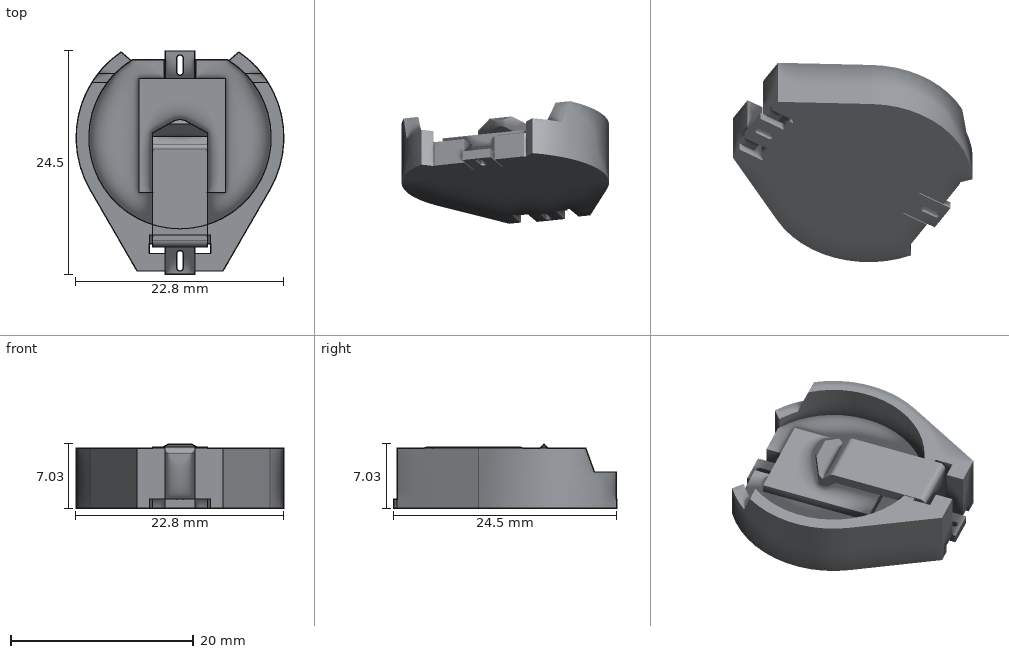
import cadquery as cq
import math


housing_height = 6.6
outer_radius = 11.395
pocket_radius = 10.0
floor_height = 2.7
flank_angle = math.radians(30)
back_y = -14.63
open_edge_y = 8.55
arm_tip_x = 6.45
arm_tip_angle = math.radians(41)
low_arm_height = 4.0
ramp_bottom_y = 7.0
ramp_top_y = 6.05
reach = 15.0

contact_thickness = 1.0
tab_width = 3.25
front_tab_end_y = 9.5
back_tab_end_y = -15.0
tab_slot_width = 0.7
tab_slot_length = 2.2
front_tab_slot_gap = 0.45
back_tab_slot_gap = 0.4

plate_width = 9.5
plate_center_x = 0.25
plate_front_y = 6.5
plate_back_y = -6.0
tab_channel_width = 3.5

clip_width = 6.0
clip_thickness = 1.15
clip_top = 6.7
clip_back_y = -12.0
bend_radius = 0.7
fold_angle = math.radians(45)
valley_y = 0.1
peak_y = 1.47
peak_z = 7.03
nose_corner_y = 0.53
nose_slope = 0.55
nose_radius = 1.5

recess_width = 6.7
recess_front_y = -10.7
recess_back_y = -12.7
foot_front_y = -11.65


def block(width, y_min, y_max, z_min, z_max):
    """Box centred on X between the given Y and Z limits."""
    depth = y_max - y_min
    height = z_max - z_min
    shape = cq.Workplane("XY").box(width, depth, height, centered=(True, False, False))
    return shape.translate((0, y_min, z_min))


def tab_slot(y_min):
    """Cutter for the round-ended slot through a solder tab."""
    return (
        cq.Workplane("XY")
        .center(0, y_min + tab_slot_length / 2)
        .slot2D(tab_slot_length, tab_slot_width, 90)
        .extrude(contact_thickness)
    )


def make_housing():
    tangent_x = outer_radius * math.cos(flank_angle)
    tangent_y = -outer_radius * math.sin(flank_angle)
    back_x = tangent_x - (tangent_y - back_y) * math.tan(flank_angle)
    arm_tip_y = math.sqrt(outer_radius**2 - arm_tip_x**2)

    run_x = math.cos(arm_tip_angle)
    run_y = math.sin(arm_tip_angle)
    corner_depth = arm_tip_x * run_x + arm_tip_y * run_y
    run = corner_depth - math.sqrt(corner_depth**2 - (outer_radius**2 - pocket_radius**2))
    inner_x = arm_tip_x - run * run_x
    inner_y = arm_tip_y - run * run_y

    walls = (
        cq.Workplane("XY")
        .moveTo(-back_x, back_y)
        .lineTo(back_x, back_y)
        .lineTo(tangent_x, tangent_y)
        .threePointArc((outer_radius, 0), (arm_tip_x, arm_tip_y))
        .lineTo(inner_x, inner_y)
        .threePointArc((0, -pocket_radius), (-inner_x, inner_y))
        .lineTo(-arm_tip_x, arm_tip_y)
        .threePointArc((-outer_radius, 0), (-tangent_x, tangent_y))
        .close()
        .extrude(housing_height)
    )

    floor = cq.Workplane("XY").circle(pocket_radius).extrude(floor_height)
    floor = floor.intersect(block(2 * reach, -reach, open_edge_y, 0, floor_height))

    arm_step = (
        cq.Workplane("YZ")
        .moveTo(ramp_top_y, housing_height)
        .lineTo(ramp_bottom_y, low_arm_height)
        .lineTo(reach, low_arm_height)
        .lineTo(reach, housing_height)
        .close()
        .extrude(reach, both=True)
    )

    front_channel = block(tab_channel_width, plate_front_y - contact_thickness, reach, 0, floor_height)
    recess = block(recess_width, recess_back_y, recess_front_y, contact_thickness, housing_height)
    foot_notch = block(recess_width, back_y, foot_front_y, 0, contact_thickness)
    back_channel = block(tab_width, back_y, recess_back_y, contact_thickness, housing_height)

    housing = walls.union(floor).cut(arm_step)
    return housing.cut(front_channel).cut(recess).cut(foot_notch).cut(back_channel)


def make_lower_contact():
    plate = block(plate_width, plate_back_y, plate_front_y, floor_height, floor_height + contact_thickness)
    plate = plate.translate((plate_center_x, 0, 0))
    riser = block(tab_width, plate_front_y - contact_thickness, plate_front_y, 0, floor_height)
    tab = block(tab_width, plate_front_y, front_tab_end_y, 0, contact_thickness)
    slot = tab_slot(front_tab_end_y - front_tab_slot_gap - tab_slot_length)
    return plate.union(riser).union(tab).cut(slot)


def make_clip():
    diagonal = math.cos(fold_angle)
    offset = clip_thickness * diagonal
    valley_z = peak_z - (peak_y - valley_y)
    crest_y = valley_y - (clip_top - valley_z)
    under_z = clip_top - clip_thickness
    under_y = valley_y - offset - (under_z - (valley_z - offset))
    bend_setback = bend_radius * math.tan(fold_angle / 2)
    leg_front_y = clip_back_y + clip_thickness

    strip = (
        cq.Workplane("YZ")
        .moveTo(clip_back_y, contact_thickness)
        .lineTo(clip_back_y, clip_top - bend_radius)
        .radiusArc((clip_back_y + bend_radius, clip_top), bend_radius)
        .lineTo(crest_y - bend_setback, clip_top)
        .radiusArc((crest_y + bend_setback * diagonal, clip_top - bend_setback * diagonal), bend_radius)
        .lineTo(valley_y, valley_z)
        .lineTo(peak_y, peak_z)
        .lineTo(peak_y + offset, peak_z - offset)
        .lineTo(valley_y + offset, valley_z - offset)
        .threePointArc((valley_y, valley_z - clip_thickness), (valley_y - offset, valley_z - offset))
        .lineTo(under_y, under_z)
        .lineTo(leg_front_y, under_z)
        .lineTo(leg_front_y, contact_thickness)
        .close()
        .extrude(clip_width / 2, both=True)
    )

    nose_point_y = nose_corner_y + nose_slope * clip_width / 2
    outline = (
        cq.Workplane("XY")
        .moveTo(-clip_width / 2, clip_back_y)
        .lineTo(clip_width / 2, clip_back_y)
        .lineTo(clip_width / 2, nose_corner_y)
        .lineTo(0, nose_point_y)
        .lineTo(-clip_width / 2, nose_corner_y)
        .close()
        .extrude(peak_z)
        .edges(cq.selectors.NearestToPointSelector((0, nose_point_y, peak_z / 2)))
        .fillet(nose_radius)
    )

    foot = block(clip_width, clip_back_y, foot_front_y, 0, contact_thickness)
    tab = block(tab_width, back_tab_end_y, clip_back_y, 0, contact_thickness)
    slot = tab_slot(back_tab_end_y + back_tab_slot_gap)
    return strip.intersect(outline).union(foot).union(tab).cut(slot)


housing = make_housing()
lower_contact = make_lower_contact()
clip = make_clip()

result = cq.Compound.makeCompound([housing.val(), lower_contact.val(), clip.val()])